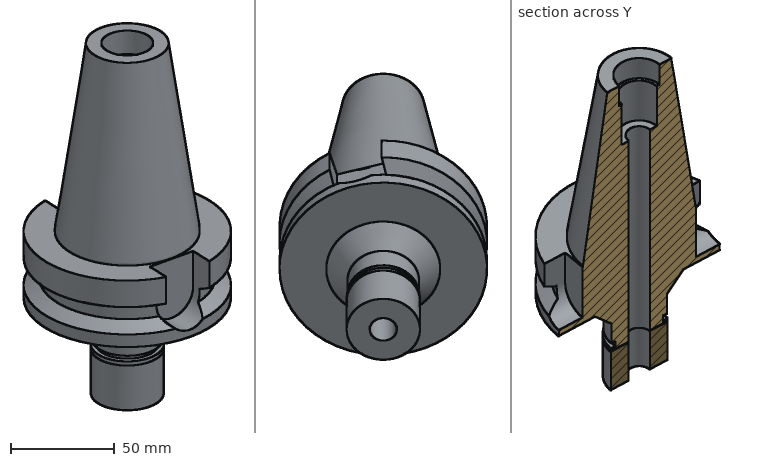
import cadquery as cq

total_height = 191.8
nut_top = 24.5
ring_top = 26.9
neck_bottom = 29.7
neck_top = 42.2
flange_bottom = 52.4
groove_lower_edge = 59.3
groove_floor_bottom = 63.7
groove_floor_top = 70.2
groove_upper_edge = 74.2
flange_top = 88.8
taper_bottom = 90.0

flange_radius = 100.0 / 2
groove_radius = 42.5
taper_large_radius = 35.0
taper_small_radius = 20.0
neck_radius = 17.3
neck_cone_radius = neck_radius + flange_bottom - neck_top
spigot_radius = 15.0
nut_radius = 17.6

pilot_radius = 12.5
pilot_depth = 12.9
thread_radius = 10.7
thread_depth = 38.4
through_radius = 6.5

slot_width = 26.0
slot_floor_x = 35.3
slot_bottom = 56.4


def cylinder(radius, bottom, top):
    """Cylinder on the Z axis between two heights."""
    return cq.Workplane("XY").workplane(offset=bottom).circle(radius).extrude(top - bottom)


def drive_slot():
    """Slot cutter on the +X side: straight walls, round lower end, open at the top."""
    half_width = slot_width / 2
    arc_center_z = slot_bottom + half_width
    return (
        cq.Workplane("YZ")
        .workplane(offset=slot_floor_x)
        .moveTo(-half_width, flange_top)
        .lineTo(-half_width, arc_center_z)
        .threePointArc((0, slot_bottom), (half_width, arc_center_z))
        .lineTo(half_width, flange_top)
        .close()
        .extrude(flange_radius)
    )


def make_holder():
    """Taper, grooved flange, neck and spigot with a stepped bore and two drive slots."""
    profile = [
        (0, nut_top),
        (spigot_radius, nut_top),
        (spigot_radius, neck_bottom),
        (neck_radius, neck_bottom),
        (neck_radius, neck_top),
        (neck_cone_radius, flange_bottom),
        (flange_radius, flange_bottom),
        (flange_radius, groove_lower_edge),
        (groove_radius, groove_floor_bottom),
        (groove_radius, groove_floor_top),
        (flange_radius, groove_upper_edge),
        (flange_radius, flange_top),
        (taper_large_radius, flange_top),
        (taper_large_radius, taper_bottom),
        (taper_small_radius, total_height),
        (0, total_height),
    ]
    holder = cq.Workplane("XZ").polyline(profile).close().revolve(360, (0, 0), (0, 1))
    holder = holder.cut(cylinder(through_radius, nut_top, total_height))
    holder = holder.cut(cylinder(thread_radius, total_height - thread_depth, total_height))
    holder = holder.cut(cylinder(pilot_radius, total_height - pilot_depth, total_height))
    for angle in (0, 180):
        holder = holder.cut(drive_slot().rotate((0, 0, 0), (0, 0, 1), angle))
    return holder


def make_ring():
    """Thin ring around the spigot, resting on the nut."""
    return cylinder(nut_radius, nut_top, ring_top).cut(cylinder(spigot_radius, nut_top, ring_top))


def make_nut():
    """Plain round nut continuing the through bore."""
    return cylinder(nut_radius, 0, nut_top).cut(cylinder(through_radius, 0, nut_top))


holder = make_holder()
ring = make_ring()
nut = make_nut()

result = cq.Compound.makeCompound([holder.val(), ring.val(), nut.val()])